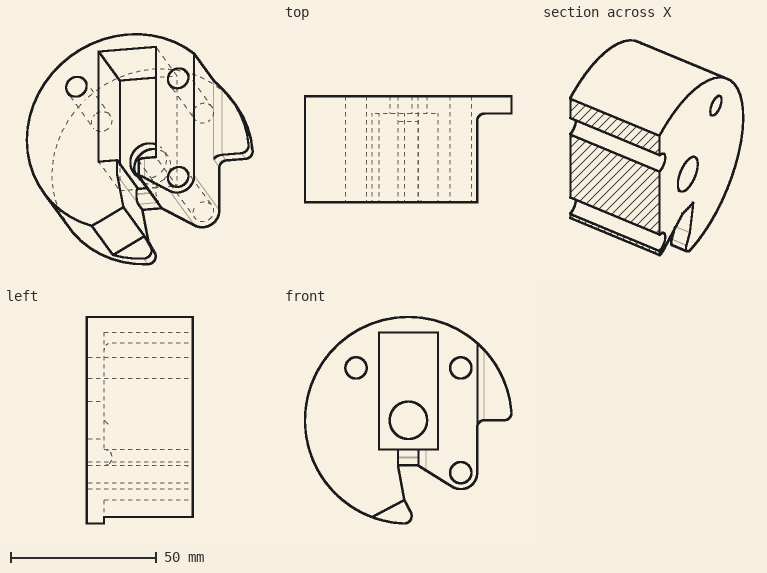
import cadquery as cq
import math

disc_radius = 35.55
depth = 36.45
plate_thickness = 6.05
plate_front = depth - plate_thickness

bolt_offset = 18.0
bolt_diameter = 7.25
bore_diameter = 12.8

pocket_half_width = 10.1
pocket_top = 30.15
pocket_bottom = -10.0

slot_left = -3.55
slot_right = 3.4
slot_bottom = -15.5
slot_round = 2.6

hook_inner = (-1.35, -27.4)
hook_slope = 62.2
hook_tip_radius = 2.7
arm_radius = 5.7
arm_side = bolt_offset + arm_radius
arm_slope = 32.0

lip_bottom = 0.0
lip_tip_radius = 2.55
lip_root_radius = 2.35


def point_at(centre, radius, degrees):
    """Point at an angle on a circle in the XZ plane."""
    angle = math.radians(degrees)
    return centre[0] + radius * math.cos(angle), centre[1] + radius * math.sin(angle)


def extrude_back(sketch, start, end):
    """Extrude a closed XZ sketch from y = start to y = end."""
    return sketch.extrude(-(end - start)).translate((0, start, 0))


def plate_outline():
    """Full outline of the back plate, including the side lip and the hook."""
    tip_height = lip_bottom + lip_tip_radius
    tip_reach = disc_radius - lip_tip_radius
    lip_centre = (math.sqrt(tip_reach**2 - tip_height**2), tip_height)
    lip_rim_angle = math.degrees(math.atan2(lip_centre[1], lip_centre[0]))
    root_centre = (arm_side + lip_root_radius, lip_bottom - lip_root_radius)

    arm_centre = (bolt_offset, -bolt_offset)
    arm_tangent_angle = -90 - arm_slope
    arm_tangent = point_at(arm_centre, arm_radius, arm_tangent_angle)
    arm_run = (arm_tangent[1] - slot_bottom) / math.tan(math.radians(-arm_slope))
    arm_inner = (arm_tangent[0] - arm_run, slot_bottom)

    lip_direction = point_at((0, 0), 1, -hook_slope)
    tip_line_start = point_at(hook_inner, hook_tip_radius, -90 - hook_slope)
    along = tip_line_start[0] * lip_direction[0] + tip_line_start[1] * lip_direction[1]
    square_distance = tip_line_start[0] ** 2 + tip_line_start[1] ** 2
    hook_reach = disc_radius - hook_tip_radius
    travel = -along + math.sqrt(along**2 - square_distance + hook_reach**2)
    hook_centre = point_at(tip_line_start, travel, -hook_slope)
    hook_rim_angle = math.degrees(math.atan2(hook_centre[1], hook_centre[0]))
    hook_lip_angle = 90 - hook_slope
    hook_mid_angle = (hook_rim_angle + hook_lip_angle) / 2

    return (
        cq.Workplane("XZ")
        .moveTo(*point_at((0, 0), disc_radius, lip_rim_angle))
        .threePointArc(
            point_at(lip_centre, lip_tip_radius, (lip_rim_angle - 90) / 2),
            (lip_centre[0], lip_bottom),
        )
        .lineTo(root_centre[0], lip_bottom)
        .threePointArc(
            point_at(root_centre, lip_root_radius, 135),
            (arm_side, root_centre[1]),
        )
        .lineTo(arm_side, arm_centre[1])
        .threePointArc(point_at(arm_centre, arm_radius, arm_tangent_angle / 2), arm_tangent)
        .lineTo(*arm_inner)
        .lineTo(slot_left, slot_bottom)
        .lineTo(*hook_inner)
        .lineTo(*point_at(hook_centre, hook_tip_radius, hook_lip_angle))
        .threePointArc(
            point_at(hook_centre, hook_tip_radius, hook_mid_angle),
            point_at((0, 0), disc_radius, hook_rim_angle),
        )
        .threePointArc((-disc_radius, 0), (0, disc_radius))
        .threePointArc(
            point_at((0, 0), disc_radius, 45),
            point_at((0, 0), disc_radius, lip_rim_angle),
        )
        .close()
    )


def side_lip_relief():
    """Cutter for the space in front of the side lip, with a rounded root against the body."""
    width = disc_radius
    return (
        cq.Workplane("XY")
        .box(width, plate_front, 2 * disc_radius, centered=(False, False, True))
        .edges(">Y and <X")
        .fillet(lip_root_radius)
        .translate((arm_side, 0, 0))
    )


def hook_relief():
    """Cutter for the space in front of the hook tip, cut square to its lip."""
    size = disc_radius
    return (
        cq.Workplane("XY")
        .box(size, plate_front, size, centered=False)
        .translate((0, 0, -size))
        .rotate((0, 0, 0), (0, 1, 0), hook_slope)
        .translate((hook_inner[0], 0, hook_inner[1]))
    )


def pocket():
    width = 2 * pocket_half_width
    height = pocket_top - pocket_bottom
    sketch = cq.Workplane("XZ").center(0, (pocket_top + pocket_bottom) / 2).rect(width, height)
    return extrude_back(sketch, 0, plate_front)


def slot():
    """Slot from the front to the plate, its closed end rounded above and below."""
    width = slot_right - slot_left
    height = pocket_bottom - slot_bottom
    channel = (
        cq.Workplane("XY")
        .box(width, plate_front, height, centered=False)
        .translate((slot_left, 0, slot_bottom))
    )
    rounded_end = (
        cq.Workplane("XY")
        .box(width, plate_thickness, height, centered=False)
        .edges("|X and <Y")
        .fillet(slot_round)
        .translate((slot_left, plate_front - slot_round, slot_bottom))
    )
    return channel.cut(rounded_end)


def slot_mouth():
    """Rounds over the arm's front edge where it meets the slot."""
    far_side = slot_right + slot_round
    arc_middle = point_at((far_side, slot_round), slot_round, -135)
    return (
        cq.Workplane("XY", origin=(0, 0, pocket_bottom))
        .moveTo(slot_right, 0)
        .lineTo(far_side, 0)
        .threePointArc(arc_middle, (slot_right, slot_round))
        .close()
        .extrude(-bolt_offset - pocket_bottom)
    )


body = extrude_back(plate_outline(), 0, depth)
body = body.cut(side_lip_relief()).cut(hook_relief()).cut(pocket()).cut(slot()).cut(slot_mouth())

bolt_points = [(-bolt_offset, bolt_offset), (bolt_offset, bolt_offset), (bolt_offset, -bolt_offset)]
bolts = cq.Workplane("XZ").pushPoints(bolt_points).circle(bolt_diameter / 2)
bore = cq.Workplane("XZ").circle(bore_diameter / 2)
result = body.cut(extrude_back(bolts, 0, depth)).cut(extrude_back(bore, 0, depth))